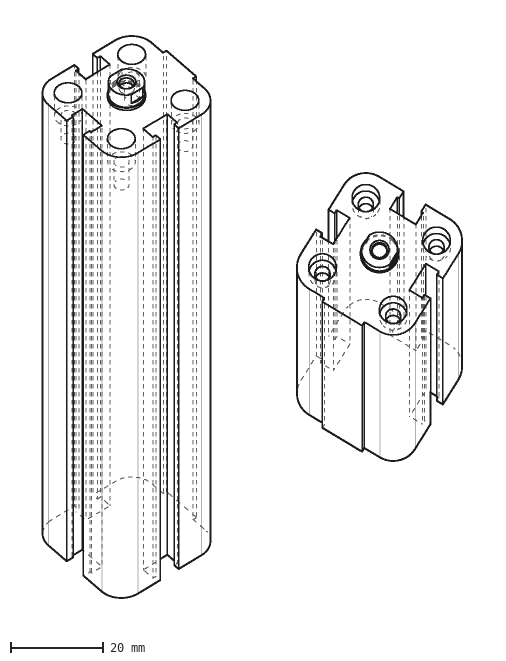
import cadquery as cq

total_height = 142.5
rod_height = 4.5
housing_height = total_height - rod_height

housing_width = 29.0
half_width = housing_width / 2
corner_radius = 5.5
rail_width = 10.1
rail_height = 0.94

slot_depth = 4.8
side_mouth_width = 5.1
side_chamber_width = 6.8
side_lip_thickness = 1.5
front_mouth_width = 5.5
front_chamber_width = 6.5
front_lip_thickness = 1.9

hole_offset = half_width - corner_radius
mounting_hole_diameter = 3.3
counterbore_diameter = 6.0
counterbore_depth = 7.1
mounting_hole_depth = 14.2

rod_diameter = 7.8
collar_diameter = 8.3
collar_height = 0.7
flat_spacing = 7.1
flat_height = 2.7
rod_hole_diameter = 3.3
rod_hole_mouth_diameter = 4.1
rod_hole_depth = 2.0
rod_countersink_depth = (rod_hole_mouth_diameter - rod_hole_diameter) / 2


def make_slot(mouth_width, chamber_width, lip_thickness):
    """Full-height T-slot cutter opening toward -Y."""
    face = -half_width
    lip_inner = face + lip_thickness
    floor = face + slot_depth
    half_mouth = mouth_width / 2
    half_chamber = chamber_width / 2
    return (
        cq.Workplane("XY")
        .polyline([
            (-half_mouth, face),
            (half_mouth, face),
            (half_mouth, lip_inner),
            (half_chamber, lip_inner),
            (half_chamber, floor),
            (-half_chamber, floor),
            (-half_chamber, lip_inner),
            (-half_mouth, lip_inner),
        ])
        .close()
        .extrude(housing_height)
    )


def make_housing():
    """Extruded cylinder housing with a rail on +Y and slots on the other sides."""
    body = (
        cq.Workplane("XY")
        .rect(housing_width, housing_width)
        .extrude(housing_height)
        .edges("|Z")
        .fillet(corner_radius)
    )
    rail = (
        cq.Workplane("XY")
        .box(rail_width, half_width + rail_height, housing_height, centered=(True, False, False))
    )
    body = body.union(rail)

    body = body.cut(make_slot(front_mouth_width, front_chamber_width, front_lip_thickness))
    side_slot = make_slot(side_mouth_width, side_chamber_width, side_lip_thickness)
    for angle in (-90, 90):
        body = body.cut(side_slot.rotate((0, 0, 0), (0, 0, 1), angle))

    return (
        body.faces(">Z")
        .workplane(origin=(0, 0, housing_height))
        .rect(2 * hole_offset, 2 * hole_offset, forConstruction=True)
        .vertices()
        .cboreHole(
            mounting_hole_diameter,
            counterbore_diameter,
            counterbore_depth,
            depth=mounting_hole_depth,
        )
    )


def make_rod():
    """Rod end seated on the housing, with a collar, two wrench flats and a countersunk blind hole."""
    base = cq.Workplane("XY").workplane(offset=housing_height)
    collar = base.circle(collar_diameter / 2).extrude(collar_height)
    shank = base.circle(rod_diameter / 2).extrude(rod_height)
    rod = collar.union(shank)

    flat_zone = (
        cq.Workplane("XY")
        .workplane(offset=total_height - flat_height)
        .rect(rod_diameter, rod_diameter)
        .rect(flat_spacing, rod_diameter)
        .extrude(flat_height)
    )
    rod = rod.cut(flat_zone)

    hole = (
        cq.Workplane("XY")
        .workplane(offset=total_height - rod_hole_depth)
        .circle(rod_hole_diameter / 2)
        .extrude(rod_hole_depth)
    )
    countersink = (
        cq.Workplane("XY")
        .workplane(offset=total_height - rod_countersink_depth)
        .circle(rod_hole_diameter / 2)
        .workplane(offset=rod_countersink_depth)
        .circle(rod_hole_mouth_diameter / 2)
        .loft()
    )
    return rod.cut(hole).cut(countersink)


housing = make_housing()
rod = make_rod()
result = cq.Compound.makeCompound([housing.val(), rod.val()])